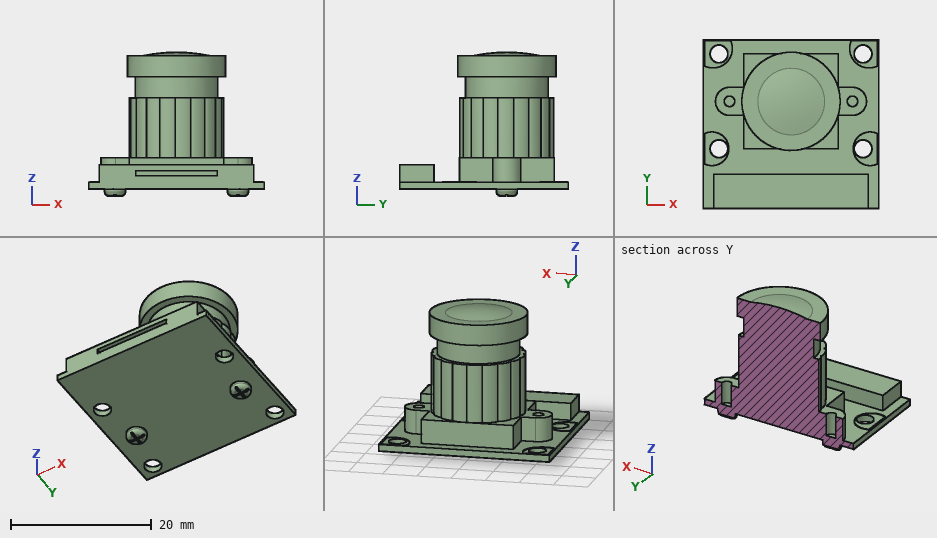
import cadquery as cq
import math

board_x = 25
board_y = 24
board_z = 1
mount_hole_d = 2.5
mount_hole_x = 10.25
mount_hole_rows = (10, -3.5)

pad_z = 0.08
pad_side_gap = 0.22
pad_back_gap = 0.12
back_pad_centre = (11.1, 10.75)
back_pad_r = 2.75
front_pad_centre = (11.25, mount_hole_rows[1])
front_pad_r = 2.4

lens_y = sum(mount_hole_rows) / 2
holder_side = 13.5
holder_z = 3.5
ear_x = 8.75
ear_r = 2
ear_hole_d = 1.5

barrel_r = holder_side / 2
barrel_z = 8.5
groove_r = 6.45
flute_count = 18
first_flute_angle = -1.4
neck_d = 11.8
neck_z = 3
cap_d = 14
cap_z = 3
glass_d = 9.5
glass_rise = 0.5

connector_x = 22
connector_y = 4.9
connector_z = 2.5
slot_x = 11.6
slot_z = 0.75
slot_bottom = 0.9
slot_depth = 1

screw_head_d = 3
screw_head_z = 1
screw_head_round = 0.65
cross_width = 0.25
cross_depth = 0.2

holder_top = board_z + holder_z
barrel_top = holder_top + barrel_z
neck_top = barrel_top + neck_z
cap_top = neck_top + cap_z


def block(size_x, size_y, size_z, x, y, bottom):
    """Box centred on (x, y) standing on the level `bottom`."""
    box = cq.Workplane("XY").box(size_x, size_y, size_z, centered=(True, True, False))
    return box.translate((x, y, bottom))


def disc(diameter, height, x, y, bottom):
    """Upright cylinder on (x, y) standing on the level `bottom`."""
    return cq.Workplane("XY", origin=(x, y, bottom)).circle(diameter / 2).extrude(height)


def make_pad(side, centre, radius):
    """Thin round pad, cut straight where it nears the board edges."""
    round_pad = disc(2 * radius, pad_z, side * centre[0], centre[1], board_z)
    limit_x = board_x - 2 * pad_side_gap
    limit_y = board_y - 2 * pad_back_gap
    return round_pad.intersect(block(limit_x, limit_y, pad_z, 0, 0, board_z))


def make_board():
    board = block(board_x, board_y, board_z, 0, 0, 0)
    for side in (-1, 1):
        board = board.union(make_pad(side, back_pad_centre, back_pad_r))
        board = board.union(make_pad(side, front_pad_centre, front_pad_r))
    for side in (-1, 1):
        for row_y in mount_hole_rows:
            board = board.cut(disc(mount_hole_d, board_z + pad_z, side * mount_hole_x, row_y, 0))
    return board


def make_holder():
    holder = block(holder_side, holder_side, holder_z, 0, lens_y, board_z)
    holder = holder.union(block(2 * ear_x, 2 * ear_r, holder_z, 0, lens_y, board_z))
    for x in (-ear_x, ear_x):
        holder = holder.union(disc(2 * ear_r, holder_z, x, lens_y, board_z))
    for x in (-ear_x, ear_x):
        holder = holder.cut(disc(ear_hole_d, holder_z, x, lens_y, board_z))
    return holder


def make_barrel():
    """Grip: a many-sided core with a half-elliptical flute on each side, meeting in sharp grooves."""
    half_pitch = math.pi / flute_count
    flute_half_width = groove_r * math.sin(half_pitch)
    flute_centre_r = groove_r * math.cos(half_pitch)
    flute_rise = barrel_r - flute_centre_r

    barrel = (
        cq.Workplane("XY")
        .polygon(flute_count, 2 * groove_r)
        .extrude(barrel_z)
        .rotate((0, 0, 0), (0, 0, 1), first_flute_angle + math.degrees(half_pitch))
    )
    flute = cq.Workplane("XY").ellipse(flute_rise, flute_half_width).extrude(barrel_z)
    flute = flute.translate((flute_centre_r, 0, 0))
    for index in range(flute_count):
        angle = first_flute_angle + index * 360 / flute_count
        barrel = barrel.union(flute.rotate((0, 0, 0), (0, 0, 1), angle))
    return barrel.translate((0, lens_y, holder_top))


def make_glass():
    """Shallow spherical dome on the cap."""
    rim_r = glass_d / 2
    sphere_r = (rim_r ** 2 + glass_rise ** 2) / (2 * glass_rise)
    sphere = cq.Workplane("XY").sphere(sphere_r).translate((0, lens_y, cap_top + glass_rise - sphere_r))
    return disc(glass_d, glass_rise, 0, lens_y, cap_top).intersect(sphere)


def make_connector():
    front_y = -board_y / 2
    body = block(connector_x, connector_y, connector_z, 0, front_y + connector_y / 2, board_z)
    slot = block(slot_x, slot_depth, slot_z, 0, front_y + slot_depth / 2, board_z + slot_bottom)
    return body.cut(slot)


def make_screw_head(x):
    """Round-edged head with a cross recess, hanging under the board."""
    head = disc(screw_head_d, screw_head_z, x, lens_y, -screw_head_z)
    head = head.faces("<Z").edges().fillet(screw_head_round)
    for size_x, size_y in ((screw_head_d, cross_width), (cross_width, screw_head_d)):
        head = head.cut(block(size_x, size_y, cross_depth, x, lens_y, -screw_head_z))
    return head


result = (
    make_board()
    .union(make_holder())
    .union(make_barrel())
    .union(disc(neck_d, neck_z, 0, lens_y, barrel_top))
    .union(disc(cap_d, cap_z, 0, lens_y, neck_top))
    .union(make_glass())
    .union(make_connector())
    .union(make_screw_head(-ear_x))
    .union(make_screw_head(ear_x))
)